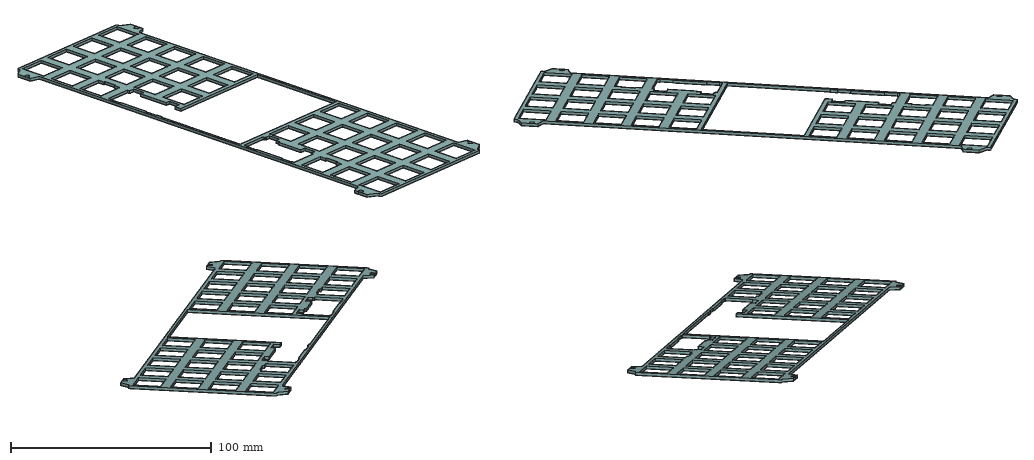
import cadquery as cq

length = 241.8
plate_width = 75.2
thickness = 1.5
corner_radius = 0.7

columns = 5
rows = 4
switch_size = 14.0
half_switch = switch_size / 2
pitch = 19.0
end_margin = 2.0
outer_column_x = length / 2 - end_margin - half_switch
bottom_row_y = -pitch * (rows - 1) / 2

notch_column = 2
notch_width = 7.0
notch_depth = 0.85

window_width = 52.2
window_height = 72.3

double_columns = (3, 4)
double_center_x = outer_column_x - pitch * sum(double_columns) / 2
double_half_width = pitch / 2 + half_switch
stabilizer_spacing = 23.7
stabilizer_width = 6.5
stabilizer_top = 10.2
stabilizer_bottom = -7.5
relief_side_gap = 1.0
relief_overrun = 2.5

ear_span = 85.1
ear_root_outer_x = 119.0
ear_root_inner_x = 106.2
ear_tip_outer_x = 116.0
ear_tip_inner_x = 107.9
ear_root_fillet = 1.5
ear_hole_diameter = 2.5
ear_hole_wall = 0.12
ear_hole_x = 111.0
ear_hole_y = ear_span / 2 - ear_hole_wall - ear_hole_diameter / 2


def block(x_min, x_max, y_min, y_max):
    """Full-thickness rectangular block between the given limits."""
    center = ((x_min + x_max) / 2, (y_min + y_max) / 2)
    return cq.Workplane("XY").center(*center).rect(x_max - x_min, y_max - y_min).extrude(thickness)


def column_x(side, column):
    """X of a column counted from the outer end; side is -1 (left) or 1 (right)."""
    return side * (outer_column_x - pitch * column)


def make_plate():
    """Rectangular plate with four tapered ears blended into its long edges."""
    plate = block(-length / 2, length / 2, -plate_width / 2, plate_width / 2)
    plate = plate.edges("|Z").fillet(corner_radius)
    for side in (-1, 1):
        quarter = [
            (ear_root_inner_x, plate_width / 2),
            (ear_tip_inner_x, ear_span / 2),
            (ear_tip_outer_x, ear_span / 2),
            (ear_root_outer_x, plate_width / 2),
        ]
        upper = [(side * x, y) for x, y in quarter]
        lower = [(x, -y) for x, y in reversed(upper)]
        plate = plate.union(cq.Workplane("XY").polyline(upper + lower).close().extrude(thickness))
    for x in (ear_root_inner_x, ear_root_outer_x):
        for side in (-1, 1):
            for end in (-1, 1):
                root = cq.selectors.NearestToPointSelector((side * x, end * plate_width / 2, thickness / 2))
                plate = plate.edges(root).fillet(ear_root_fillet)
    return plate


def ear_holes():
    """Screw holes of the four ears."""
    points = [(side * ear_hole_x, end * ear_hole_y) for side in (-1, 1) for end in (-1, 1)]
    return cq.Workplane("XY").pushPoints(points).circle(ear_hole_diameter / 2).extrude(thickness)


def switch_holes():
    """Square switch holes of both fields, leaving out those taken by the double keys."""
    points = [
        (column_x(side, column), bottom_row_y + pitch * row)
        for side in (-1, 1)
        for column in range(columns)
        for row in range(rows)
        if row > 0 or column not in double_columns
    ]
    return cq.Workplane("XY").pushPoints(points).rect(switch_size, switch_size).extrude(thickness)


def bottom_row_block(x_min, x_max, above=0.0):
    """Block as tall as a bottom-row switch hole, plus an extra height above it."""
    return block(x_min, x_max, bottom_row_y - half_switch, bottom_row_y + half_switch + above)


def notch(side):
    """Shallow notch in the upper edge of one bottom-row switch hole."""
    x = column_x(side, notch_column)
    return bottom_row_block(x - notch_width / 2, x + notch_width / 2, notch_depth)


def stabilizer_slots(center_x):
    """Pair of stabilizer slots either side of a double key."""
    slots = cq.Workplane("XY")
    for side in (-1, 1):
        x = center_x + side * stabilizer_spacing / 2
        slot = block(
            x - stabilizer_width / 2,
            x + stabilizer_width / 2,
            bottom_row_y + stabilizer_bottom,
            bottom_row_y + stabilizer_top,
        )
        slots = slots.union(slot)
    return slots


def left_double_key():
    """Double-width hole that opens into the central window."""
    center_x = -double_center_x
    hole = bottom_row_block(center_x - double_half_width, 0)
    relief = bottom_row_block(
        center_x - stabilizer_spacing / 2,
        center_x + stabilizer_spacing / 2,
        notch_depth,
    )
    return hole.union(relief).union(stabilizer_slots(center_x))


def right_double_key():
    """Closed double-width hole with reliefs around its stabilizer slots."""
    center_x = double_center_x
    x_min = center_x - double_half_width
    x_max = center_x + double_half_width
    slot_offset = stabilizer_spacing / 2
    inner_relief_end = center_x - slot_offset + stabilizer_width / 2 + relief_overrun
    hole = bottom_row_block(x_min, x_max)
    inner_relief = bottom_row_block(x_min + relief_side_gap, inner_relief_end, notch_depth)
    outer_relief = bottom_row_block(center_x + slot_offset, x_max - relief_side_gap, notch_depth)
    return hole.union(inner_relief).union(outer_relief).union(stabilizer_slots(center_x))


window = block(-window_width / 2, window_width / 2, -window_height / 2, window_height / 2)

result = make_plate().cut(ear_holes()).cut(switch_holes()).cut(window)
result = result.cut(notch(-1)).cut(notch(1))
result = result.cut(left_double_key()).cut(right_double_key())